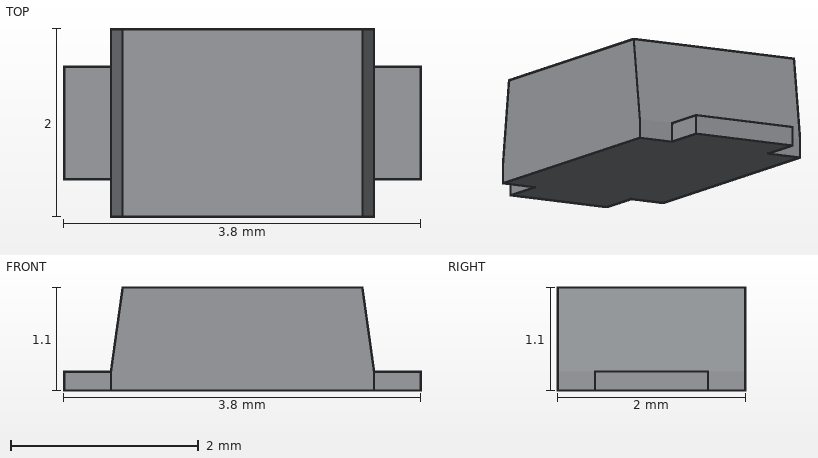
import cadquery as cq

total_length = 3.8
body_width = 2.0
body_height = 1.1

body_length = 2.805
top_inset = 0.125

lead_width = 1.2
lead_thickness = 0.2

half_foot = body_length / 2
half_top = half_foot - top_inset


def make_body():
    """Moulded body; its taper starts level with the top of the leads."""
    return (
        cq.Workplane("XZ")
        .moveTo(-half_foot, 0)
        .lineTo(half_foot, 0)
        .lineTo(half_foot, lead_thickness)
        .lineTo(half_top, body_height)
        .lineTo(-half_top, body_height)
        .lineTo(-half_foot, lead_thickness)
        .close()
        .extrude(body_width / 2, both=True)
    )


def make_leads():
    """One strip through the body, leaving a lead at each end."""
    return cq.Workplane("XY").box(
        total_length, lead_width, lead_thickness, centered=(True, True, False)
    )


result = make_body().union(make_leads())